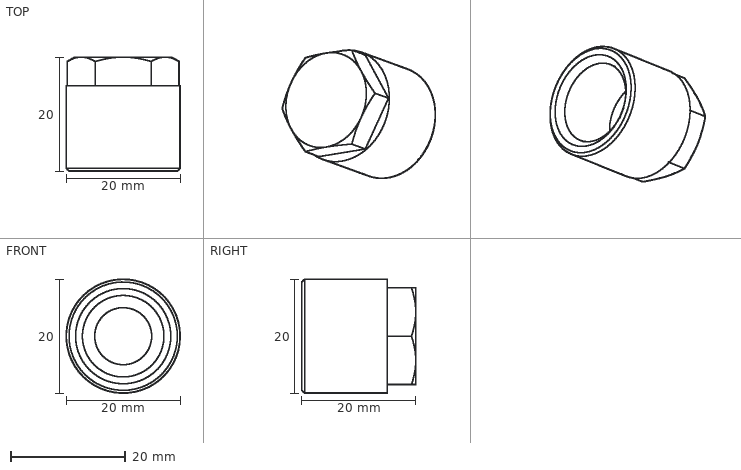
import cadquery as cq
import math

outer_diameter = 20.0
total_length = 20.0
hex_sides = 6
hex_length = 5.0
hex_across_flats = 17.0
rim_chamfer = 0.5
hex_chamfer_angle = 30.0

bore_diameter = 14.3
countersink_diameter = 16.7
bore_depth = 13.0
recess_diameter = 10.0
recess_tip_angle = 120.0

outer_radius = outer_diameter / 2
open_face = -total_length / 2
hex_end = total_length / 2
shoulder = hex_end - hex_length
hex_across_corners = hex_across_flats / math.cos(math.pi / hex_sides)


def revolve_profile(points):
    """Revolve (radius, y) points around the Y axis."""
    axis_start = (0, 0, 0)
    axis_end = (0, 1, 0)
    return cq.Workplane("XY").polyline(points).close().revolve(360, axis_start, axis_end)


def make_barrel():
    """Round sleeve body with a chamfered open rim."""
    return revolve_profile([
        (0, open_face),
        (outer_radius - rim_chamfer, open_face),
        (outer_radius, open_face + rim_chamfer),
        (outer_radius, shoulder),
        (0, shoulder),
    ])


def make_hexagon():
    """Hexagon with corners on +X and -X, its end corners turned off by a cone."""
    prism = (
        cq.Workplane("XZ", origin=(0, hex_end, 0))
        .polygon(hex_sides, hex_across_corners)
        .extrude(hex_length)
    )
    flat_radius = hex_across_flats / 2
    cone_length = (outer_radius - flat_radius) * math.tan(math.radians(hex_chamfer_angle))
    envelope = revolve_profile([
        (0, shoulder),
        (outer_radius, shoulder),
        (outer_radius, hex_end - cone_length),
        (flat_radius, hex_end),
        (0, hex_end),
    ])
    return prism.intersect(envelope)


def make_bore():
    """Countersunk blind bore with a conical recess in its floor."""
    bore_radius = bore_diameter / 2
    recess_radius = recess_diameter / 2
    countersink_depth = (countersink_diameter - bore_diameter) / 2
    floor = open_face + bore_depth
    recess_depth = recess_radius / math.tan(math.radians(recess_tip_angle / 2))
    return revolve_profile([
        (0, open_face),
        (countersink_diameter / 2, open_face),
        (bore_radius, open_face + countersink_depth),
        (bore_radius, floor),
        (recess_radius, floor),
        (0, floor + recess_depth),
    ])


result = make_barrel().union(make_hexagon()).cut(make_bore())